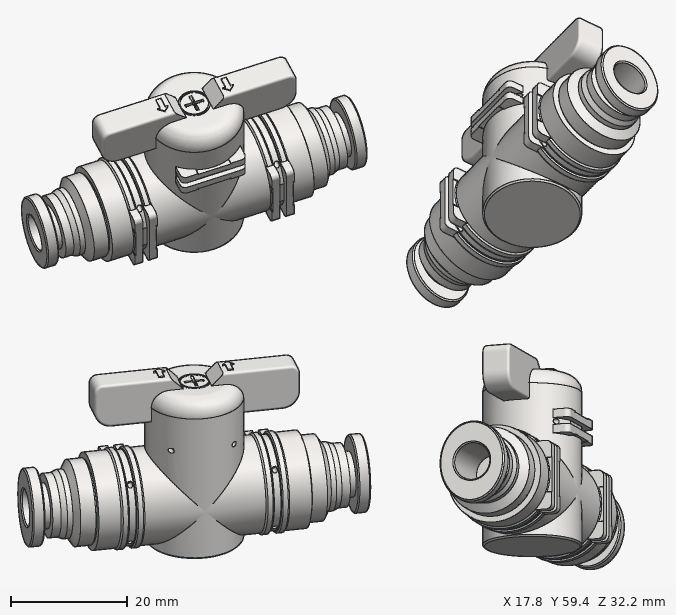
import cadquery as cq
import math


BARREL_RADIUS = 8.5
PIPE_HALF_LENGTH = 18.7
COLUMN_BOTTOM = -8.95
COLUMN_BOTTOM_CHAMFER = 0.3

COLLAR_RADIUS = 7.55
COLLAR_FRONT = 21.7
COLLAR_BACK_CHAMFER = 0.3
SLEEVE_RADIUS = 6.0
SLEEVE_BACK = 22.7
SLEEVE_TAPER_START = 23.65
TIP_RADIUS = 5.6
TIP_BACK = 24.65
TIP_FRONT = 26.15
NECK_RADIUS = 4.0
FLANGE_BACK = 27.5
FITTING_END = 29.7
FLANGE_HALF_WIDTH = 5.9
FLANGE_HALF_HEIGHT = 7.0
FLANGE_CHAMFER = 0.25
BORE_RADIUS = 3.2
BORE_CHAMFER = 0.25
BORE_DEPTH = FITTING_END - PIPE_HALF_LENGTH

RING_RADIUS = 8.8
LUG_REACH = 9.0
MOUNT_HALF_HEIGHT = 2.1
MOUNT_GAP = 1.2
LUG_HALF_WIDTH = 6.0
LUG_CORNER_RADIUS = 0.95
LUG_RECESS_WIDTH = 6.05
LUG_RECESS_DEPTH = 0.2
GAP_FLOOR = 8.0
RING_TOP_INNER = 0.9
RING_TOP_OUTER = 1.8
TIE_GROOVE_RADIUS = 8.3
TIE_HOLE_DIAMETER = 0.9
TIE_HOLE_OFFSET = 5.5
PIPE_TIE_HOLE_DEPTH = 1.5
PIPE_MOUNT_PLACE = 12.7
COLUMN_MOUNT_HEIGHT = 11.35

CAP_BOTTOM = 17.9
CAP_ROUND = 3.0
CAP_TOP = CAP_BOTTOM + CAP_ROUND
ARM_HALF_WIDTH = 2.5
ARM_HALF_LENGTH = 18.0
ARM_BOTTOM = 15.0
ARM_TOP = 23.0
ARM_LOWER_ROUND = 3.0
ARM_UPPER_ROUND = 1.5
ARM_EDGE_ROUND = 0.5
NOTCH_HALF_WIDTH = 2.5

SCREW_RADIUS = 2.45
SCREW_GROOVE_WIDTH = 0.3
SCREW_GROOVE_DEPTH = 0.2
CROSS_HALF_LENGTH = 1.7
CROSS_WIDTH = 0.5
CROSS_DEPTH = CROSS_HALF_LENGTH

OVERALL_HEIGHT = 32.2
ARROW_TOP = COLUMN_BOTTOM + OVERALL_HEIGHT
ARROW_PLACE = 6.05
ARROW_TAIL = -1.4
ARROW_TIP = 1.5
ARROW_HEAD_LENGTH = 0.95
ARROW_SHAFT_HALF_WIDTH = 0.5
ARROW_HEAD_HALF_WIDTH = 1.0


def cylinder_on_z(radius, bottom, top):
    return cq.Workplane("XY").workplane(offset=bottom).circle(radius).extrude(top - bottom)


def centred_box(x_size, y_size, z_size, centre):
    return cq.Workplane("XY").box(x_size, y_size, z_size).translate(centre)


def lay_along_pipe(shape):
    """Turns a shape built around Z so that its +Z side faces -Y."""
    return shape.rotate((0, 0, 0), (1, 0, 0), 90)


def barrels():
    pipe = lay_along_pipe(cylinder_on_z(BARREL_RADIUS, -PIPE_HALF_LENGTH, PIPE_HALF_LENGTH))
    column = cylinder_on_z(BARREL_RADIUS, COLUMN_BOTTOM, CAP_BOTTOM)
    column = column.faces("<Z").chamfer(COLUMN_BOTTOM_CHAMFER)
    return pipe.union(column)


def fitting():
    """One push-in fitting, built along +Z outwards from the end of the pipe."""
    turned = (
        cq.Workplane("XZ")
        .moveTo(0, PIPE_HALF_LENGTH)
        .lineTo(COLLAR_RADIUS - COLLAR_BACK_CHAMFER, PIPE_HALF_LENGTH)
        .lineTo(COLLAR_RADIUS, PIPE_HALF_LENGTH + COLLAR_BACK_CHAMFER)
        .lineTo(COLLAR_RADIUS, COLLAR_FRONT)
        .lineTo(SLEEVE_RADIUS, SLEEVE_BACK)
        .lineTo(SLEEVE_RADIUS, SLEEVE_TAPER_START)
        .lineTo(TIP_RADIUS, TIP_BACK)
        .lineTo(TIP_RADIUS, TIP_FRONT)
        .lineTo(NECK_RADIUS, TIP_FRONT)
        .lineTo(NECK_RADIUS, FLANGE_BACK)
        .lineTo(0, FLANGE_BACK)
        .close()
        .revolve(360, (0, 0, 0), (0, 1, 0))
    )
    flange = (
        cq.Workplane("XY")
        .workplane(offset=FLANGE_BACK)
        .ellipse(FLANGE_HALF_WIDTH, FLANGE_HALF_HEIGHT)
        .extrude(FITTING_END - FLANGE_BACK)
        .faces("<Z or >Z")
        .chamfer(FLANGE_CHAMFER)
    )
    bore = cylinder_on_z(BORE_RADIUS, FITTING_END - BORE_DEPTH, FITTING_END)
    bore_mouth = (
        cq.Workplane("XY")
        .workplane(offset=FITTING_END - BORE_CHAMFER)
        .circle(BORE_RADIUS)
        .workplane(offset=BORE_CHAMFER)
        .circle(BORE_RADIUS + BORE_CHAMFER)
        .loft()
    )
    return turned.union(flange).cut(bore).cut(bore_mouth)


def tie_lugs():
    """Two lugs on the +X side of a barrel around Z, each with a shallow recess in its outer face."""
    gap_side = MOUNT_GAP / 2
    thickness = MOUNT_HALF_HEIGHT - gap_side
    upper = (
        centred_box(LUG_REACH, 2 * LUG_HALF_WIDTH, thickness, (LUG_REACH / 2, 0, gap_side + thickness / 2))
        .edges("|Z and >X")
        .fillet(LUG_CORNER_RADIUS)
    )
    recess = centred_box(
        LUG_REACH,
        LUG_RECESS_WIDTH,
        LUG_RECESS_DEPTH,
        (LUG_REACH / 2, 0, MOUNT_HALF_HEIGHT - LUG_RECESS_DEPTH / 2),
    )
    upper = upper.cut(recess)
    return upper.union(upper.mirror("XY"))


def gap_floor_cut():
    """Cutter that flattens the barrel between two lugs."""
    depth = LUG_REACH - GAP_FLOOR
    return centred_box(depth, 2 * LUG_HALF_WIDTH, MOUNT_GAP, (GAP_FLOOR + depth / 2, 0, 0))


def tie_rings():
    """Two tapered rings around a barrel on Z."""
    upper = (
        cq.Workplane("XZ")
        .moveTo(TIE_GROOVE_RADIUS, MOUNT_GAP / 2)
        .lineTo(RING_RADIUS, RING_TOP_INNER)
        .lineTo(RING_RADIUS, RING_TOP_OUTER)
        .lineTo(BARREL_RADIUS, MOUNT_HALF_HEIGHT)
        .lineTo(TIE_GROOVE_RADIUS, MOUNT_HALF_HEIGHT)
        .close()
        .revolve(360, (0, 0, 0), (0, 1, 0))
    )
    return upper.union(upper.mirror("XY"))


def tie_groove():
    """Cutter for the shallow groove between two rings."""
    outer = cylinder_on_z(BARREL_RADIUS, -MOUNT_GAP / 2, MOUNT_GAP / 2)
    return outer.cut(cylinder_on_z(TIE_GROOVE_RADIUS, -MOUNT_GAP / 2, MOUNT_GAP / 2))


def tie_holes(inner_x, outer_x):
    """A pair of holes along X in the tie gap, from inner_x to outer_x."""
    return (
        cq.Workplane("YZ")
        .workplane(offset=inner_x)
        .pushPoints([(-TIE_HOLE_OFFSET, 0), (TIE_HOLE_OFFSET, 0)])
        .circle(TIE_HOLE_DIAMETER / 2)
        .extrude(outer_x - inner_x)
    )


def add_column_mount(body):
    """Lugs on the column, with tie holes right through it."""
    place = (0, 0, COLUMN_MOUNT_HEIGHT)
    cutters = gap_floor_cut().union(tie_holes(-LUG_REACH, LUG_REACH))
    return body.union(tie_lugs().translate(place)).cut(cutters.translate(place))


def add_pipe_mount(body, y_place):
    """Lugs and rings on the pipe, with a groove and blind tie holes from both sides."""
    place = (0, y_place, 0)
    mount = tie_lugs().union(tie_rings())
    hole_mouth = math.sqrt(TIE_GROOVE_RADIUS**2 - TIE_HOLE_OFFSET**2)
    holes = tie_holes(hole_mouth - PIPE_TIE_HOLE_DEPTH, LUG_REACH)
    cutters = gap_floor_cut().union(tie_groove()).union(holes).union(holes.mirror("YZ"))
    body = body.union(lay_along_pipe(mount).translate(place))
    return body.cut(lay_along_pipe(cutters).translate(place))


def make_body():
    body = barrels()
    front_fitting = lay_along_pipe(fitting())
    body = body.union(front_fitting).union(front_fitting.mirror("XZ"))
    body = add_column_mount(body)
    for y_place in (-PIPE_MOUNT_PLACE, PIPE_MOUNT_PLACE):
        body = add_pipe_mount(body, y_place)
    return body


def cap():
    """A dome whose rounded edge runs down to its flat base, with a ring groove around the screw."""
    dome = (
        cq.Workplane("XZ")
        .moveTo(0, CAP_BOTTOM)
        .lineTo(BARREL_RADIUS, CAP_BOTTOM)
        .radiusArc((BARREL_RADIUS - CAP_ROUND, CAP_TOP), -CAP_ROUND)
        .lineTo(0, CAP_TOP)
        .close()
        .revolve(360, (0, 0, 0), (0, 1, 0))
    )
    groove_bottom = CAP_TOP - SCREW_GROOVE_DEPTH
    groove = cylinder_on_z(SCREW_RADIUS + SCREW_GROOVE_WIDTH, groove_bottom, CAP_TOP)
    groove = groove.cut(cylinder_on_z(SCREW_RADIUS, groove_bottom, CAP_TOP))
    return dome.cut(groove)


def lever_arms():
    """A rounded bar along Y, split into two arms and cleared around the column below the cap."""
    bar = centred_box(
        2 * ARM_HALF_WIDTH,
        2 * ARM_HALF_LENGTH,
        ARM_TOP - ARM_BOTTOM,
        (0, 0, (ARM_TOP + ARM_BOTTOM) / 2),
    )
    bar = bar.edges("|X and <Z").fillet(ARM_LOWER_ROUND)
    bar = bar.edges("|X and >Z").fillet(ARM_UPPER_ROUND)
    bar = bar.faces("<X or >X").edges().fillet(ARM_EDGE_ROUND)
    notch_top = NOTCH_HALF_WIDTH + ARM_TOP - CAP_TOP
    notch = (
        cq.Workplane("YZ")
        .workplane(offset=-ARM_HALF_WIDTH)
        .polyline(
            [
                (-NOTCH_HALF_WIDTH, ARM_BOTTOM),
                (NOTCH_HALF_WIDTH, ARM_BOTTOM),
                (NOTCH_HALF_WIDTH, CAP_TOP),
                (notch_top, ARM_TOP),
                (-notch_top, ARM_TOP),
                (-NOTCH_HALF_WIDTH, CAP_TOP),
            ]
        )
        .close()
        .extrude(2 * ARM_HALF_WIDTH)
    )
    return bar.cut(notch).cut(cylinder_on_z(BARREL_RADIUS, ARM_BOTTOM, CAP_BOTTOM))


def cross_recess():
    """Two crossing slots whose floors slope down to the screw axis."""
    slot = (
        cq.Workplane("XZ")
        .polyline(
            [
                (-CROSS_HALF_LENGTH, CAP_TOP),
                (CROSS_HALF_LENGTH, CAP_TOP),
                (0, CAP_TOP - CROSS_DEPTH),
            ]
        )
        .close()
        .extrude(CROSS_WIDTH / 2, both=True)
    )
    return slot.union(slot.rotate((0, 0, 0), (0, 0, 1), 90))


def arrow(y_place):
    head_base = ARROW_TIP - ARROW_HEAD_LENGTH
    return (
        cq.Workplane("XY")
        .workplane(offset=ARM_TOP)
        .polyline(
            [
                (ARROW_TAIL, -ARROW_SHAFT_HALF_WIDTH),
                (head_base, -ARROW_SHAFT_HALF_WIDTH),
                (head_base, -ARROW_HEAD_HALF_WIDTH),
                (ARROW_TIP, 0),
                (head_base, ARROW_HEAD_HALF_WIDTH),
                (head_base, ARROW_SHAFT_HALF_WIDTH),
                (ARROW_TAIL, ARROW_SHAFT_HALF_WIDTH),
            ]
        )
        .close()
        .extrude(ARROW_TOP - ARM_TOP)
        .translate((0, y_place, 0))
    )


def make_handle():
    handle = cap().union(lever_arms()).cut(cross_recess())
    for y_place in (-ARROW_PLACE, ARROW_PLACE):
        handle = handle.union(arrow(y_place))
    return handle


body = make_body()
handle = make_handle()
result = cq.Compound.makeCompound([body.val(), handle.val()])